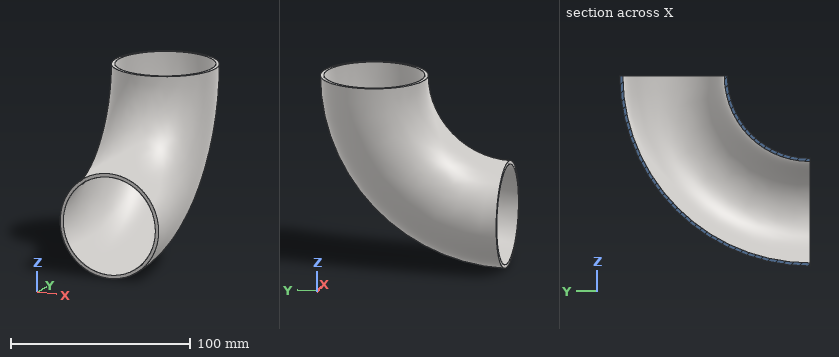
import cadquery as cq

outer_reach = 106.2
outer_diameter = 60.3
wall_thickness = 2.0
bend_angle = 90.0

outer_radius = outer_diameter / 2
inner_radius = outer_radius - wall_thickness
bend_radius = outer_reach - outer_radius

pipe_section = (
    cq.Workplane("XZ")
    .center(0, -bend_radius)
    .circle(outer_radius)
    .circle(inner_radius)
)

result = pipe_section.revolve(bend_angle, (0, bend_radius, 0), (1, bend_radius, 0))